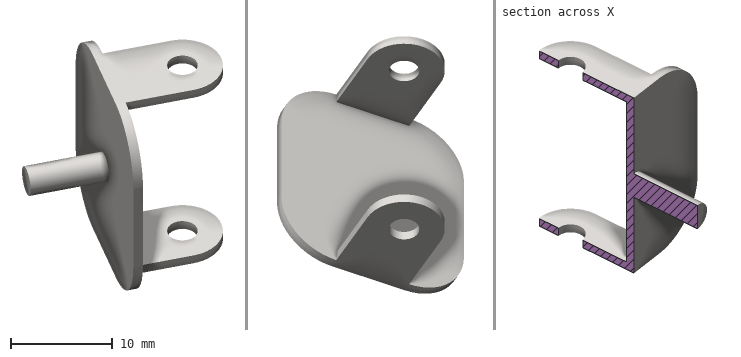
import cadquery as cq

plate_width = 20.0
plate_height = 22.0
thickness = 1.0
corner_radius = 6.0

tab_width = plate_width - 2 * corner_radius
tab_reach = 12.0
hole_diameter = 3.0

pin_diameter = 3.0
pin_length = 8.0


def make_plate():
    return (
        cq.Workplane("XY")
        .box(plate_width, thickness, plate_height, centered=(True, False, True))
        .edges("|Y")
        .fillet(corner_radius)
    )


def make_tab(bottom_z):
    """Round-ended tab with a hole concentric with its end."""
    end_radius = tab_width / 2
    end_center_y = tab_reach - end_radius
    return (
        cq.Workplane("XY", origin=(0, 0, bottom_z))
        .moveTo(-end_radius, 0)
        .lineTo(end_radius, 0)
        .lineTo(end_radius, end_center_y)
        .threePointArc((0, tab_reach), (-end_radius, end_center_y))
        .close()
        .moveTo(0, end_center_y)
        .circle(hole_diameter / 2)
        .extrude(thickness)
    )


def make_pin():
    return cq.Workplane("XZ").circle(pin_diameter / 2).extrude(pin_length)


result = make_plate().union(make_pin())
for tab_bottom in (-plate_height / 2, plate_height / 2 - thickness):
    result = result.union(make_tab(tab_bottom))